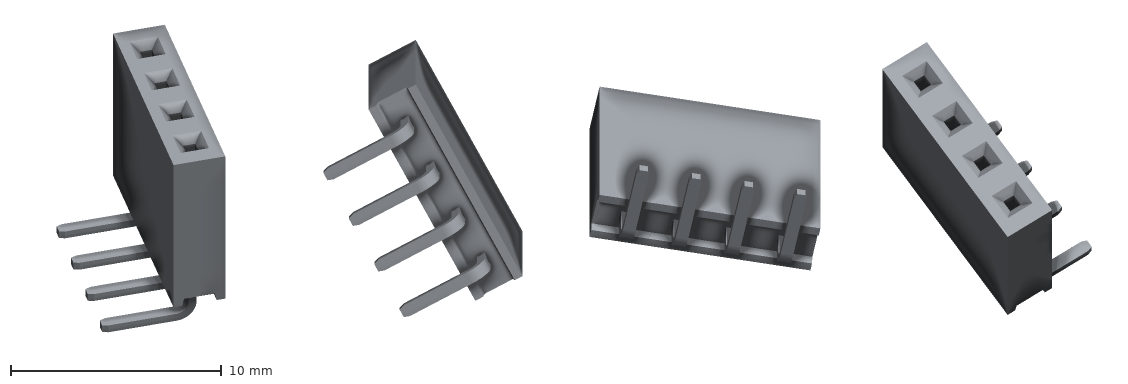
import cadquery as cq

socket_count = 4
pitch = 2.54
row_length = 10.66
end_plate_thickness = (row_length - socket_count * pitch) / 2

housing_depth = 2.55
housing_height = 8.5
overall_height = 10.3
notch_depth = 0.4
notch_mouth_width = 1.71
notch_roof_width = 1.51

funnel_width = 1.4
funnel_depth = 0.39
hole_width = 0.6
hole_depth = housing_height / 2

pin_width = 0.6
pin_thickness = 0.4
bend_inner_radius = 0.56
bend_outer_radius = bend_inner_radius + pin_thickness
overall_depth = 5.69
tip_length = 0.28
tip_inset = 0.1

housing_top = overall_height
housing_bottom = housing_top - housing_height
notch_roof = housing_bottom + notch_depth
pin_tip_y = housing_depth / 2 - overall_depth


def housing_slice(start_x, thickness):
    """Slice of the housing section along X, with the notch along its underside."""
    back = housing_depth / 2
    return (
        cq.Workplane("YZ", origin=(start_x, 0, 0))
        .moveTo(-back, housing_top)
        .lineTo(-back, housing_bottom)
        .lineTo(-notch_mouth_width / 2, housing_bottom)
        .lineTo(-notch_roof_width / 2, notch_roof)
        .lineTo(notch_roof_width / 2, notch_roof)
        .lineTo(notch_mouth_width / 2, housing_bottom)
        .lineTo(back, housing_bottom)
        .lineTo(back, housing_top)
        .close()
        .extrude(thickness)
    )


def make_socket(center_x):
    """Housing block with a contact opening in its top."""
    top_plane = cq.Workplane("XY", origin=(center_x, 0, housing_top))
    funnel = (
        top_plane.rect(funnel_width, funnel_width)
        .workplane(offset=-funnel_depth)
        .rect(hole_width, hole_width)
        .loft(ruled=True)
    )
    hole = top_plane.rect(hole_width, hole_width).extrude(-hole_depth)
    return housing_slice(center_x - pitch / 2, pitch).cut(funnel).cut(hole)


def make_end_plate(start_x):
    """Plain plate that closes one end of the row."""
    return housing_slice(start_x, end_plate_thickness)


def make_pin(center_x):
    """Flat pin that leaves the notch roof downward, bends to -Y and narrows at its tip."""
    half_thickness = pin_thickness / 2
    bend_end_y = half_thickness - bend_outer_radius
    strip = (
        cq.Workplane("YZ", origin=(center_x, 0, 0))
        .moveTo(half_thickness, notch_roof)
        .lineTo(half_thickness, bend_outer_radius)
        .radiusArc((bend_end_y, 0), bend_outer_radius)
        .lineTo(pin_tip_y, 0)
        .lineTo(pin_tip_y, pin_thickness)
        .lineTo(bend_end_y, pin_thickness)
        .radiusArc((-half_thickness, bend_outer_radius), -bend_inner_radius)
        .lineTo(-half_thickness, notch_roof)
        .close()
        .extrude(pin_width / 2, both=True)
    )
    return strip.faces("<Y").edges("|Z").chamfer(tip_length, tip_inset)


socket_centers = [(i - (socket_count - 1) / 2) * pitch for i in range(socket_count)]
end_plate_starts = [-row_length / 2, row_length / 2 - end_plate_thickness]

sockets = [make_socket(x).val() for x in socket_centers]
end_plates = [make_end_plate(x).val() for x in end_plate_starts]
pins = [make_pin(x).val() for x in socket_centers]

result = cq.Compound.makeCompound([*sockets, *end_plates, *pins])